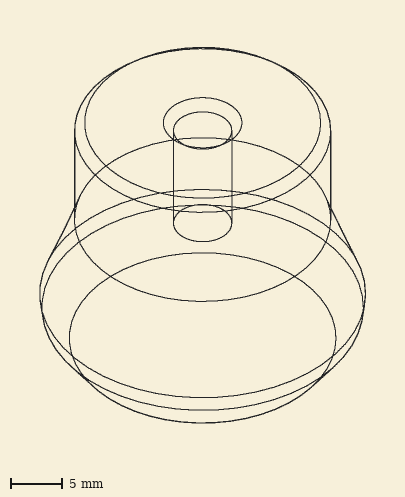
import cadquery as cq

total_height = 27.3
base_taper_top = 3.85
widest_height = 5.63
neck_bottom = 15.0

base_diameter = 26.02
rim_diameter = 31.35
widest_diameter = 31.8
neck_diameter = 25.0
bore_diameter = 5.7

edge_chamfer = 1.0
bore_depth = 12.72


def body():
    """Knob body revolved about Z from half of its outline."""
    neck_radius = neck_diameter / 2
    outline = [
        (0, 0),
        (base_diameter / 2, 0),
        (rim_diameter / 2, base_taper_top),
        (widest_diameter / 2, widest_height),
        (neck_radius, neck_bottom),
        (neck_radius, total_height - edge_chamfer),
        (neck_radius - edge_chamfer, total_height),
        (0, total_height),
    ]
    return cq.Workplane("XZ").polyline(outline).close().revolve(360, (0, 0), (0, 1))


def bore():
    """Blind flat-bottomed bore with a chamfered mouth, opening at the top."""
    bore_radius = bore_diameter / 2
    outline = [
        (0, total_height - bore_depth),
        (bore_radius, total_height - bore_depth),
        (bore_radius, total_height - edge_chamfer),
        (bore_radius + edge_chamfer, total_height),
        (0, total_height),
    ]
    return cq.Workplane("XZ").polyline(outline).close().revolve(360, (0, 0), (0, 1))


result = body().cut(bore())